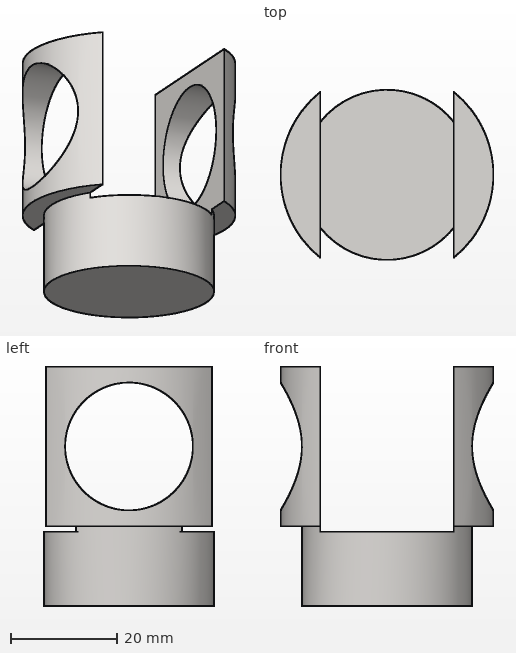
import cadquery as cq

total_height = 45.0
base_diameter = 32.0
base_height = 15.0
head_diameter = 40.0
slot_width = 25.0
slot_floor = 14.0
hole_diameter = 24.0

head_height = total_height - base_height
hole_center_z = base_height + head_height / 2


def upright_cylinder(diameter, height, bottom_z):
    return cq.Workplane("XY").workplane(offset=bottom_z).circle(diameter / 2).extrude(height)


body = upright_cylinder(base_diameter, base_height, 0).union(
    upright_cylinder(head_diameter, head_height, base_height)
)

slot = (
    cq.Workplane("XY")
    .workplane(offset=slot_floor)
    .rect(slot_width, head_diameter)
    .extrude(total_height - slot_floor)
)

cross_hole = (
    cq.Workplane("YZ")
    .center(0, hole_center_z)
    .circle(hole_diameter / 2)
    .extrude(head_diameter / 2, both=True)
)

result = body.cut(slot).cut(cross_hole)